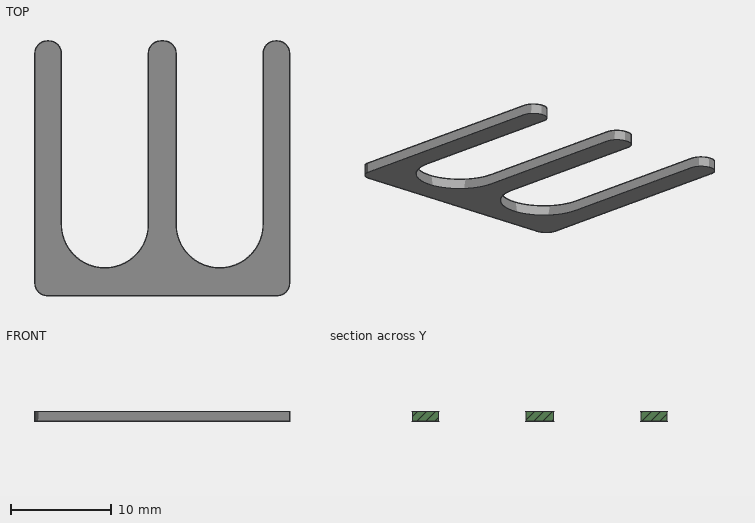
import cadquery as cq

side = 25.4
thickness = 1.0
corner_radius = 1.27

slot_width = 8.636
slot_spacing = 11.43
middle_prong_width = slot_spacing - slot_width
base_width = middle_prong_width

slot_radius = slot_width / 2
slot_center_y = -side / 2 + base_width + slot_radius
straight_length = side / 2 - slot_center_y


def make_plate():
    """Square plate centred on the Z axis, with its bottom face on Z = 0."""
    return cq.Workplane("XY").box(side, side, thickness, centered=(True, True, False))


def make_slot(center_x):
    """Cutter for a slot with a round closed end and straight sides up to the +Y edge."""
    round_end = (
        cq.Workplane("XY")
        .center(center_x, slot_center_y)
        .circle(slot_radius)
        .extrude(thickness)
    )
    straight_sides = (
        cq.Workplane("XY")
        .center(center_x, slot_center_y + straight_length / 2)
        .rect(slot_width, straight_length)
        .extrude(thickness)
    )
    return round_end.union(straight_sides)


def round_corners(fork):
    """Round both corners of every prong tip and the two outer corners of the base."""
    tip_edges = fork.faces(">Y").edges("|Z")
    base_edges = fork.faces("<Y").edges("|Z")
    return tip_edges.add(base_edges).fillet(corner_radius)


fork = make_plate()
for slot_x in (-slot_spacing / 2, slot_spacing / 2):
    fork = fork.cut(make_slot(slot_x))

result = round_corners(fork)